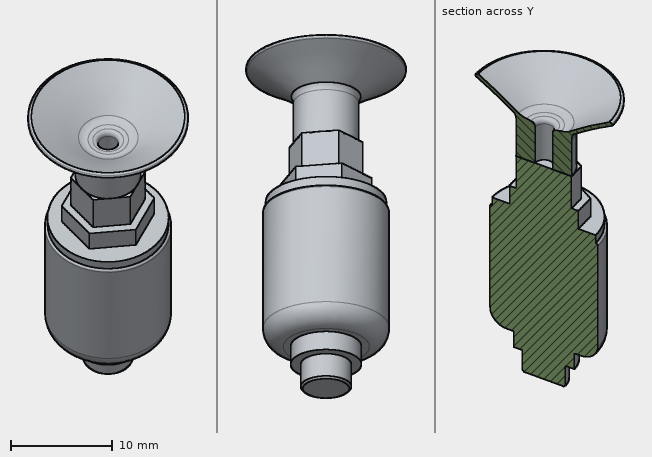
import cadquery as cq
import math

total_height = 35.05
stub_top = 2.63
barrel_bottom = 4.6
barrel_top = 19.35
collar_top = 20.35
nut_top = 22.58
fitting_top = 26.58
neck_top = 31.15
cup_floor = 31.62

stub_diameter = 5.0
stub_chamfer = 0.2
shoulder_diameter = 7.0
barrel_diameter = 12.5
barrel_bottom_fillet = 2.0
barrel_top_fillet = 0.2
collar_diameter = 12.0
nut_across_flats = 8.0
fitting_across_flats = 6.4

neck_diameter = 6.5
cup_diameter = 15.88
bore_diameter = 2.0
bore_mouth_radius = 0.53
floor_diameter = 4.0
floor_edge_height = 31.73
cone_start_diameter = 5.9
cone_start_height = 32.05
mouth_diameter = 15.18
lip_height = 0.28
lip_half_width = 0.18
lip_roundness = 0.1
flare_start_radius = 3.45
flare_start_height = 31.85
flare_bulge = 0.07


def cylinder(diameter, bottom, top):
    return cq.Workplane("XY").workplane(offset=bottom).circle(diameter / 2).extrude(top - bottom)


def hexagon(across_flats, bottom, top):
    """Hexagonal prism with flats facing +X and -X."""
    corner_diameter = across_flats / math.cos(math.pi / 6)
    outline = cq.Workplane("XY").workplane(offset=bottom).transformed(rotate=(0, 0, 90))
    return outline.polygon(6, corner_diameter).extrude(top - bottom)


def bowed_midpoint(start, end, bulge):
    """Middle of an arc that bows upward from the line between two points."""
    run = end[0] - start[0]
    rise = end[1] - start[1]
    length = math.hypot(run, rise)
    side = math.copysign(1, run)
    middle_radius = (start[0] + end[0]) / 2 - side * bulge * rise / length
    middle_height = (start[1] + end[1]) / 2 + side * bulge * run / length
    return (middle_radius, middle_height)


def make_housing():
    stub = cylinder(stub_diameter, 0, stub_top).faces("<Z").chamfer(stub_chamfer)
    shoulder = cylinder(shoulder_diameter, stub_top, barrel_bottom)
    barrel = cylinder(barrel_diameter, barrel_bottom, barrel_top)
    barrel = barrel.faces("<Z").edges().fillet(barrel_bottom_fillet)
    barrel = barrel.faces(">Z").edges().fillet(barrel_top_fillet)
    collar = cylinder(collar_diameter, barrel_top, collar_top)
    nut = hexagon(nut_across_flats, collar_top, nut_top)
    fitting = hexagon(fitting_across_flats, nut_top, fitting_top)
    return stub.union(shoulder).union(barrel).union(collar).union(nut).union(fitting)


def make_suction_cup():
    """Revolved cup with a through bore; profile points are (radius, height)."""
    bore_radius = bore_diameter / 2
    neck_radius = neck_diameter / 2
    cup_radius = cup_diameter / 2
    flare_start = (flare_start_radius, flare_start_height)
    lip_centre = total_height - lip_height
    lip_radius = cup_radius - lip_roundness
    lip_edge = (lip_radius, lip_centre - lip_half_width)
    lip_top = (lip_radius, lip_centre + lip_half_width)
    mouth_edge = (mouth_diameter / 2, total_height)
    cone_start = (cone_start_diameter / 2, cone_start_height)
    floor_edge = (floor_diameter / 2, floor_edge_height)
    bore_mouth = (bore_radius, cup_floor - bore_mouth_radius)
    mouth_drop = bore_mouth_radius * (1 - math.sqrt(0.5))

    profile = (
        cq.Workplane("XZ")
        .moveTo(bore_radius, fitting_top)
        .lineTo(neck_radius, fitting_top)
        .lineTo(neck_radius, neck_top)
        .tangentArcPoint(flare_start, relative=False)
        .threePointArc(bowed_midpoint(flare_start, lip_edge, flare_bulge), lip_edge)
        .threePointArc((cup_radius, lip_centre), lip_top)
        .lineTo(*mouth_edge)
        .threePointArc(bowed_midpoint(mouth_edge, cone_start, flare_bulge), cone_start)
        .threePointArc(bowed_midpoint(cone_start, floor_edge, -flare_bulge), floor_edge)
        .lineTo(bore_radius + bore_mouth_radius, cup_floor)
        .threePointArc((bore_radius + mouth_drop, cup_floor - mouth_drop), bore_mouth)
        .close()
    )
    return profile.revolve(360, (0, 0, 0), (0, 1, 0))


housing = make_housing()
suction_cup = make_suction_cup()

result = cq.Compound.makeCompound([housing.val(), suction_cup.val()])